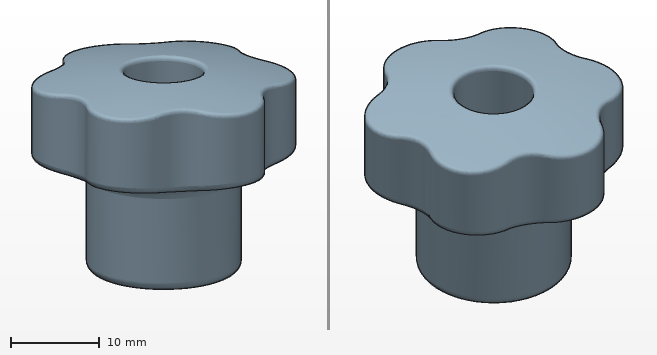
import cadquery as cq
import math

lobe_count = 6
tip_radius = 15.0
lobe_radius = 5.25
valley_radius = 4.4

dome_radius = 75.0
dome_apex = 23.67
underside_angle = 12.3
grip_corner_height = 13.53

hub_radius = 17.5 / 2
hub_edge_fillet = 1.0
neck_fillet = 1.5

bore_diameter = 9.0
bore_floor = 10.0
hole_diameter = 4.92

top_fillet = 0.5
underside_fillet = 0.75
bore_fillet = 0.5

overshoot = 3.0


def polar(radius, angle):
    return (radius * math.cos(angle), radius * math.sin(angle))


def along(start, end, distance):
    """Point at the given distance from start towards end."""
    ratio = distance / math.dist(start, end)
    return (
        start[0] + ratio * (end[0] - start[0]),
        start[1] + ratio * (end[1] - start[1]),
    )


def lobed_outline():
    """Closed outline of convex lobes joined by tangent concave valleys."""
    half_pitch = math.pi / lobe_count
    lobe_center_radius = tip_radius - lobe_radius
    center_gap = lobe_radius + valley_radius
    valley_center_radius = lobe_center_radius * math.cos(half_pitch) + math.sqrt(
        center_gap**2 - (lobe_center_radius * math.sin(half_pitch)) ** 2
    )
    valley_bottom_radius = valley_center_radius - valley_radius

    def joint(lobe_angle, valley_angle):
        lobe_center = polar(lobe_center_radius, lobe_angle)
        valley_center = polar(valley_center_radius, valley_angle)
        return along(lobe_center, valley_center, lobe_radius)

    first_lobe = math.pi / 2
    outline = cq.Workplane("XY").moveTo(*joint(first_lobe, first_lobe - half_pitch))
    for index in range(lobe_count):
        lobe = first_lobe + 2 * half_pitch * index
        valley = lobe + half_pitch
        next_lobe = valley + half_pitch
        outline = outline.threePointArc(polar(tip_radius, lobe), joint(lobe, valley))
        outline = outline.threePointArc(
            polar(valley_bottom_radius, valley), joint(next_lobe, valley)
        )
    return outline.close()


def grip_envelope():
    """Revolved body between the underside cone and the spherical dome."""
    outer_radius = tip_radius + overshoot
    slope = math.tan(math.radians(underside_angle))
    cone_apex = grip_corner_height - tip_radius * slope
    cone_edge = grip_corner_height + overshoot * slope

    def dome_height(radius):
        return dome_apex - dome_radius + math.sqrt(dome_radius**2 - radius**2)

    return (
        cq.Workplane("XZ")
        .moveTo(0, cone_apex)
        .lineTo(outer_radius, cone_edge)
        .lineTo(outer_radius, dome_height(outer_radius))
        .threePointArc((outer_radius / 2, dome_height(outer_radius / 2)), (0, dome_apex))
        .close()
        .revolve(360, (0, 0, 0), (0, 1, 0))
    )


def make_grip():
    column = lobed_outline().extrude(dome_apex + overshoot)
    grip = column.intersect(grip_envelope())
    grip = grip.faces(">Z").edges().fillet(top_fillet)
    return grip.faces("<Z").edges().fillet(underside_fillet)


def make_hub():
    hub = cq.Workplane("XY").circle(hub_radius).extrude(grip_corner_height)
    return hub.faces("<Z").edges().fillet(hub_edge_fillet)


def near_axis_circle(radius, low, high):
    """Selector for the circular edges of a radius between two heights."""
    reach = radius + 0.3
    return cq.selectors.BoxSelector((-reach, -reach, low), (reach, reach, high), boundingbox=True)


knob = make_grip().union(make_hub())
neck_bottom = grip_corner_height - neck_fillet * 2
knob = knob.edges(near_axis_circle(hub_radius, neck_bottom, grip_corner_height)).fillet(neck_fillet)

bore = cq.Workplane("XY").workplane(offset=bore_floor).circle(bore_diameter / 2).extrude(dome_apex)
hole = cq.Workplane("XY").circle(hole_diameter / 2).extrude(dome_apex)
knob = knob.cut(bore).cut(hole)

bore_rim = near_axis_circle(bore_diameter / 2, dome_apex - bore_fillet, dome_apex)
result = knob.edges(bore_rim).fillet(bore_fillet)